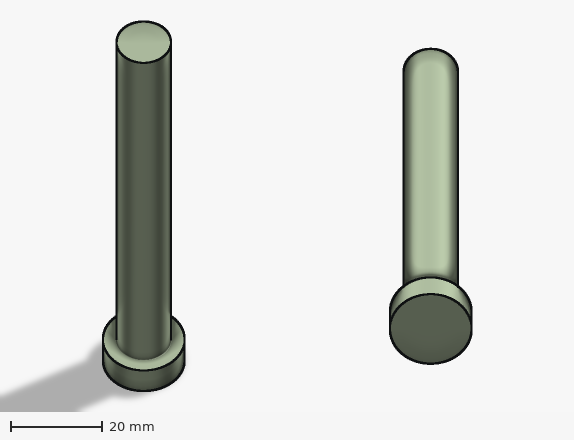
import cadquery as cq

total_length = 107.0
head_diameter = 18.0
head_height = 7.0
shank_diameter = 12.0
neck_fillet = 0.2

pin = (
    cq.Workplane("XY")
    .circle(head_diameter / 2)
    .extrude(head_height)
    .faces(">Z")
    .workplane()
    .circle(shank_diameter / 2)
    .extrude(total_length - head_height)
)

shoulder_edges = pin.faces(">Z[1]").edges("%CIRCLE")
result = shoulder_edges.edges(cq.selectors.RadiusNthSelector(0)).fillet(neck_fillet)